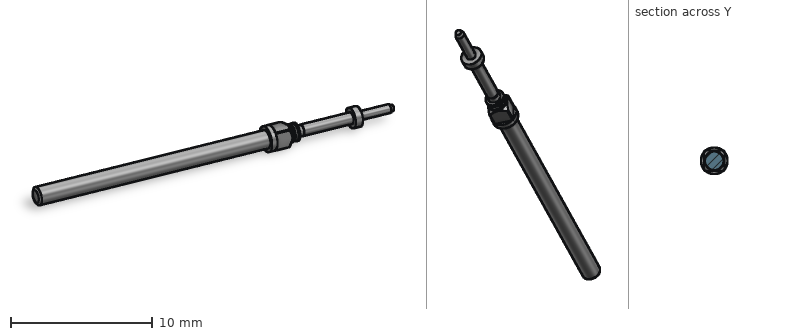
import cadquery as cq

length = 28.7
tip_y = length / 2
tube_end_y = -length / 2

pin_dia = 0.65
collar_dia = 1.52
shaft_dia = 0.85
neck_start_dia = 0.8
neck_end_dia = 0.9
tube_dia = 1.35
groove_dia = 1.15
flange_dia = 1.9

pin_length = 2.78
collar_length = 0.57
shaft_length = 3.95
neck_length = 0.45
ring_length = 0.15
groove_length = 0.35
shoulder_length = 0.15
square_length = 1.35
flange_length = 0.43

square_width = 1.44
square_corner_dia = 1.95
square_lead_length = 0.25

pin_chamfer_length = 0.3
pin_chamfer_depth = 0.11
tube_chamfer_length = 0.15
tube_chamfer_depth = 0.2


def turned(start_y, section_length, start_dia, end_dia):
    """Round section running from start_y toward -Y, straight or tapered."""
    end_y = start_y - section_length
    return (
        cq.Workplane("XY")
        .moveTo(0, start_y)
        .lineTo(start_dia / 2, start_y)
        .lineTo(end_dia / 2, end_y)
        .lineTo(0, end_y)
        .close()
        .revolve(360, (0, 0, 0), (0, 1, 0))
    )


def square_section(start_y):
    """Square bar with its long corners turned down and its front turned to a cone."""
    bar = (
        cq.Workplane("XZ", origin=(0, start_y, 0))
        .rect(square_width, square_width)
        .extrude(square_length)
    )
    straight_y = start_y - square_lead_length
    straight_length = square_length - square_lead_length
    lead_in = turned(start_y, square_lead_length, tube_dia, square_corner_dia)
    straight = turned(straight_y, straight_length, square_corner_dia, square_corner_dia)
    return bar.intersect(lead_in.union(straight))


half_groove = groove_length / 2
pin_tip_dia = pin_dia - 2 * pin_chamfer_depth
tube_tip_dia = tube_dia - 2 * tube_chamfer_depth

result = turned(tip_y, pin_chamfer_length, pin_tip_dia, pin_dia)
y = tip_y - pin_chamfer_length

for section_length, start_dia, end_dia in [
    (pin_length - pin_chamfer_length, pin_dia, pin_dia),
    (collar_length, collar_dia, collar_dia),
    (shaft_length, shaft_dia, shaft_dia),
    (neck_length, neck_start_dia, neck_end_dia),
    (ring_length, tube_dia, tube_dia),
    (half_groove, tube_dia, groove_dia),
    (half_groove, groove_dia, tube_dia),
    (shoulder_length, tube_dia, tube_dia),
]:
    result = result.union(turned(y, section_length, start_dia, end_dia))
    y -= section_length

result = result.union(square_section(y))
y -= square_length
result = result.union(turned(y, flange_length, flange_dia, flange_dia))
y -= flange_length

tube_straight_length = y - tube_end_y - tube_chamfer_length
result = result.union(turned(y, tube_straight_length, tube_dia, tube_dia))
y -= tube_straight_length
result = result.union(turned(y, tube_chamfer_length, tube_dia, tube_tip_dia))